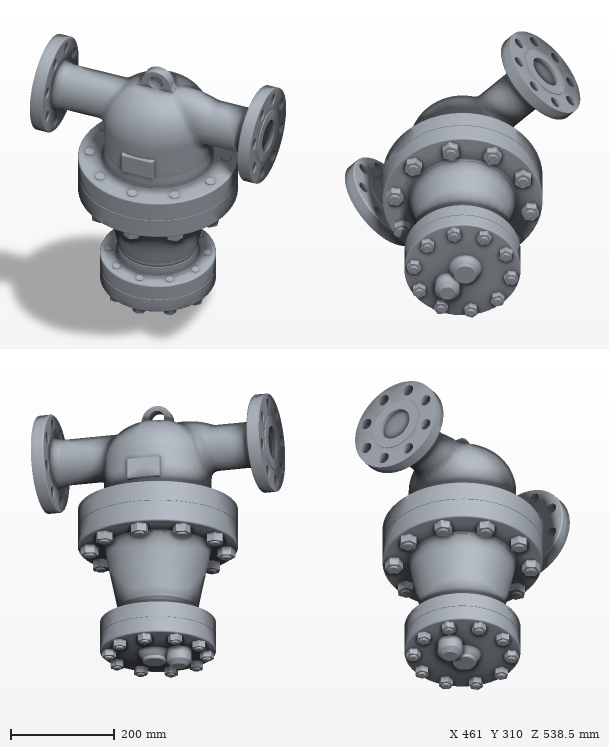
import cadquery as cq
import math


OVERALL_LENGTH = 461.0
PIPE_R = 89.0 / 2
END_FLANGE_R = 191.0 / 2
END_FLANGE_EDGE_ROUND = 3.0
RAISED_FACE_R = 104.8 / 2
RAISED_FACE_HEIGHT = 1.6
END_FLANGE_BACK_X = 203.5
WELD_HUB_START_X = 184.5
WELD_HUB_END_R = 48.0
WELD_HUB_ROOT_ROUND = 3.5
BORE_R = 65.0 / 2
BORE_DEPTH = 10.0
BOLT_HOLE_R = 23.0 / 2
BOLT_HOLE_COUNT = 8
BOLT_HOLE_CIRCLE_R = 149.4 / 2

FACE_X = OVERALL_LENGTH / 2
END_FLANGE_FRONT_X = FACE_X - RAISED_FACE_HEIGHT

HEAD_R = 104.0
DOME_ROUND = 80.0
DOME_BASE_Z = -24.7
DOME_TOP_Z = DOME_BASE_Z + DOME_ROUND
HEAD_TAPER_Z = -88.3
HEAD_FOOT_R = 108.0
PIPE_BLEND = 15.0

RISER_START_X = 121.4
RISER_ANGLE = math.radians(22.5)
RISER_LOWER_BEND = 65.0
RISER_UPPER_BEND = 114.0
RISER_END_X = 18.0
RISER_WALL = 20.0

LARGE_FLANGE_R = 310.0 / 2
LARGE_TOP_Z = -113.0
LARGE_JOINT_Z = -154.0
LARGE_BOTTOM_Z = -195.5
LARGE_BOLT_CIRCLE_R = 265.0 / 2
LARGE_STUD_D = 20.0
LARGE_NUT_FLATS = 30.0
LARGE_NUT_HEIGHT = 16.0

SMALL_FLANGE_R = 225.0 / 2
SMALL_TOP_Z = -346.0
SMALL_JOINT_Z = -378.5
SMALL_BOTTOM_Z = -409.5
SMALL_BOLT_CIRCLE_R = 190.0 / 2
SMALL_STUD_D = 16.0
SMALL_NUT_FLATS = 24.0
SMALL_NUT_HEIGHT = 12.5

FLANGE_EDGE_ROUND = 3.0
NECK_ROOT_ROUND = 4.0
GASKET_THICKNESS = 1.6
GASKET_RECESS = 1.0
STUD_COUNT = 10
FIRST_STUD_ANGLE = 90.0
NUT_SIDES = 6
STUD_PROTRUSION = 3.5
STUD_CHAMFER = 1.5

CONE_BOTTOM_Z = -316.0
NECK_R = 157.5 / 2
NECK_FOOT_R = 162.5 / 2
WELD_GROOVE_TOP_Z = -321.4
WELD_ROOT_TOP_Z = -325.0
WELD_GROOVE_BOTTOM_Z = -326.3
WELD_GROOVE_DEPTH = 1.5

CENTER_BOSS_X = -7.0
CENTER_BOSS_ROOT_R = 65.0 / 2
CENTER_BOSS_R = 45.0 / 2
CENTER_BOSS_BULGE = 0.6
CENTER_BOSS_SHOULDER_Z = -423.0
CENTER_BOSS_CHAMFER = 1.5
CENTER_BOSS_END_Z = -430.0
DRAIN_X = 42.3
DRAIN_R = 48.0 / 2
DRAIN_TIP_R = 30.0 / 2
DRAIN_SHOULDER_Z = -434.0
DRAIN_END_Z = -443.0

EYE_THICKNESS = 20.0
EYE_HOLE_R = 30.0 / 2
EYE_HOLE_Z = 70.0
EYE_RING_R = 30.0
EYE_RING_Z = 65.0
EYE_FLANK_R = 20.0
EYE_BASE_Z = 30.0

PLATE_WIDTH = 66.0
PLATE_TOP_Z = -45.2
PLATE_BOTTOM_Z = -87.0
PLATE_FRONT_Y = -107.7
PLATE_THICKNESS = 10.0
PLATE_CHAMFER = 2.0


def cylinder(radius, z_low, z_high, x=0.0):
    """Vertical cylinder between two heights, offset along X."""
    return cq.Workplane("XY", origin=(x, 0, z_low)).circle(radius).extrude(z_high - z_low)


def cone(radius_low, z_low, radius_high, z_high):
    """Vertical truncated cone on the housing axis."""
    profile = [(0, z_low), (radius_low, z_low), (radius_high, z_high), (0, z_high)]
    return cq.Workplane("XZ").polyline(profile).close().revolve(360, (0, 0), (0, 1))


def root_fillet(radius, flange_z, side):
    """Concave ring between a neck and a flange face; side is +1 above the face, -1 below it."""
    size = NECK_ROOT_ROUND
    center_r = radius + size
    center_z = flange_z + side * size
    diagonal = size / math.sqrt(2)
    inner_r = radius - size
    return (
        cq.Workplane("XZ")
        .moveTo(inner_r, flange_z)
        .lineTo(center_r, flange_z)
        .threePointArc((center_r - diagonal, center_z - side * diagonal), (radius, center_z))
        .lineTo(inner_r, center_z)
        .close()
        .revolve(360, (0, 0), (0, 1))
    )


def half_space(side):
    """Large block above (+1) or below (-1) the pipe axis plane."""
    size = OVERALL_LENGTH
    return cq.Workplane("XY").rect(2 * size, 2 * size).extrude(side * size)


def head():
    """Domed head with both pipes and the riser, before blending."""
    dome = cylinder(HEAD_R, HEAD_TAPER_Z, DOME_TOP_Z).faces(">Z").edges().fillet(DOME_ROUND)
    inlet = cq.Workplane("YZ").circle(PIPE_R).extrude(-WELD_HUB_START_X)
    outlet_start = cq.Workplane("YZ").circle(PIPE_R).extrude(RISER_START_X)
    lower_half = outlet_start.intersect(half_space(-1))
    outlet_end = cq.Workplane("YZ", origin=(RISER_START_X, 0, 0)).circle(PIPE_R)
    outlet_end = outlet_end.extrude(WELD_HUB_START_X - RISER_START_X)
    outlet = riser().union(lower_half).union(outlet_end)
    return dome.union(inlet).union(outlet)


def riser():
    """Upper half of a pipe bend that rises from the outlet and curls over into the dome.

    Its round back has straight walls below it that run flush into the lower half pipe.
    """
    bend_x = RISER_START_X - RISER_LOWER_BEND * math.sin(RISER_ANGLE)
    bend_z = RISER_LOWER_BEND * (1 - math.cos(RISER_ANGLE))
    upper_center_x = bend_x - RISER_UPPER_BEND * math.sin(RISER_ANGLE)
    upper_center_z = bend_z - RISER_UPPER_BEND * math.cos(RISER_ANGLE)
    half_angle = RISER_ANGLE / 2
    lower_mid = (
        RISER_START_X - RISER_LOWER_BEND * math.sin(half_angle),
        RISER_LOWER_BEND * (1 - math.cos(half_angle)),
    )
    peak = (upper_center_x, upper_center_z + RISER_UPPER_BEND)
    end_offset = RISER_END_X - upper_center_x
    end = (RISER_END_X, upper_center_z + math.sqrt(RISER_UPPER_BEND**2 - end_offset**2))
    path = (
        cq.Workplane("XZ")
        .moveTo(RISER_START_X, 0)
        .threePointArc(lower_mid, (bend_x, bend_z))
        .threePointArc(peak, end)
    )
    arch = (
        cq.Workplane("YZ", origin=(RISER_START_X, 0, 0))
        .moveTo(-PIPE_R, -RISER_WALL)
        .lineTo(PIPE_R, -RISER_WALL)
        .lineTo(PIPE_R, 0)
        .threePointArc((0, PIPE_R), (-PIPE_R, 0))
        .close()
        .sweep(path)
    )
    return arch.intersect(half_space(1))


def blended_head():
    """Head with every pipe-to-dome seam blended."""
    body = head()
    seams = [edge for edge in body.edges().vals() if edge.geomType() == "BSPLINE"]
    return body.newObject(seams).fillet(PIPE_BLEND)


def end_flange():
    """Weld-neck pipe flange at the +X end, with bolt holes and a blind bore."""
    root = WELD_HUB_ROOT_ROUND
    root_r = WELD_HUB_END_R + root
    diagonal = root / math.sqrt(2)
    root_x = END_FLANGE_BACK_X - root
    rim_round = END_FLANGE_EDGE_ROUND
    rim_diagonal = rim_round * (1 - 1 / math.sqrt(2))
    profile = (
        cq.Workplane("XY")
        .moveTo(WELD_HUB_START_X, 0)
        .lineTo(WELD_HUB_START_X, PIPE_R)
        .lineTo(root_x, WELD_HUB_END_R)
        .threePointArc((root_x + diagonal, root_r - diagonal), (END_FLANGE_BACK_X, root_r))
        .lineTo(END_FLANGE_BACK_X, END_FLANGE_R - rim_round)
        .threePointArc(
            (END_FLANGE_BACK_X + rim_diagonal, END_FLANGE_R - rim_diagonal),
            (END_FLANGE_BACK_X + rim_round, END_FLANGE_R),
        )
        .lineTo(END_FLANGE_FRONT_X, END_FLANGE_R)
        .lineTo(END_FLANGE_FRONT_X, RAISED_FACE_R)
        .lineTo(FACE_X, RAISED_FACE_R)
        .lineTo(FACE_X, 0)
        .close()
    )
    flange = profile.revolve(360, (0, 0), (1, 0))
    bolt_holes = (
        cq.Workplane("YZ", origin=(END_FLANGE_BACK_X, 0, 0))
        .polarArray(BOLT_HOLE_CIRCLE_R, 180 / BOLT_HOLE_COUNT, 360, BOLT_HOLE_COUNT)
        .circle(BOLT_HOLE_R)
        .extrude(FACE_X - END_FLANGE_BACK_X)
    )
    bore = cq.Workplane("YZ", origin=(FACE_X, 0, 0)).circle(BORE_R).extrude(-BORE_DEPTH)
    return flange.cut(bolt_holes).cut(bore)


def flange_pair(radius, top_z, joint_z, bottom_z):
    """Two round-edged flanges with a slightly recessed gasket between them."""
    half_gasket = GASKET_THICKNESS / 2
    upper = cylinder(radius, joint_z + half_gasket, top_z).faces(">Z").edges().fillet(FLANGE_EDGE_ROUND)
    lower = cylinder(radius, bottom_z, joint_z - half_gasket).faces("<Z").edges().fillet(FLANGE_EDGE_ROUND)
    gasket = cylinder(radius - GASKET_RECESS, joint_z - half_gasket, joint_z + half_gasket)
    return upper.union(gasket).union(lower)


def fasteners(circle_r, top_z, bottom_z, stud_d, nut_flats, nut_height):
    """Ring of through studs, each with a hexagon nut under the lower flange."""
    stud_end_z = bottom_z - nut_height - STUD_PROTRUSION
    stud = cylinder(stud_d / 2, stud_end_z, top_z + STUD_PROTRUSION, circle_r)
    stud = stud.faces("<Z or >Z").edges().chamfer(STUD_CHAMFER)
    nut_corners = nut_flats / math.cos(math.pi / NUT_SIDES)
    nut = (
        cq.Workplane("XY", origin=(circle_r, 0, bottom_z))
        .polygon(NUT_SIDES, nut_corners)
        .extrude(-nut_height)
    )
    fastener = stud.union(nut)
    ring = cq.Workplane("XY")
    for index in range(STUD_COUNT):
        angle = FIRST_STUD_ANGLE + index * 360 / STUD_COUNT
        ring = ring.add(fastener.rotate((0, 0, 0), (0, 0, 1), angle))
    return ring


def lower_housing():
    """Cone and weld neck between the two flange pairs."""
    body = cone(NECK_R, CONE_BOTTOM_Z, HEAD_R, LARGE_BOTTOM_Z)
    body = body.union(cylinder(NECK_R, WELD_GROOVE_TOP_Z, CONE_BOTTOM_Z))
    weld_root_r = NECK_R - WELD_GROOVE_DEPTH
    body = body.union(cone(weld_root_r, WELD_ROOT_TOP_Z, NECK_R, WELD_GROOVE_TOP_Z))
    body = body.union(cylinder(weld_root_r, WELD_GROOVE_BOTTOM_Z, WELD_ROOT_TOP_Z))
    body = body.union(cone(NECK_FOOT_R, SMALL_TOP_Z, NECK_R, WELD_GROOVE_BOTTOM_Z))
    body = body.union(root_fillet(HEAD_R, LARGE_BOTTOM_Z, -1))
    return body.union(root_fillet(NECK_FOOT_R, SMALL_TOP_Z, 1))


def center_boss():
    """Rounded boss under the bottom cover."""
    bulge_r = CENTER_BOSS_R + CENTER_BOSS_BULGE * (CENTER_BOSS_ROOT_R - CENTER_BOSS_R)
    bulge_z = (SMALL_BOTTOM_Z + CENTER_BOSS_SHOULDER_Z) / 2
    return (
        cq.Workplane("XZ", origin=(CENTER_BOSS_X, 0, 0))
        .moveTo(0, SMALL_BOTTOM_Z)
        .lineTo(CENTER_BOSS_ROOT_R, SMALL_BOTTOM_Z)
        .threePointArc((bulge_r, bulge_z), (CENTER_BOSS_R, CENTER_BOSS_SHOULDER_Z))
        .lineTo(CENTER_BOSS_R, CENTER_BOSS_END_Z + CENTER_BOSS_CHAMFER)
        .lineTo(CENTER_BOSS_R - CENTER_BOSS_CHAMFER, CENTER_BOSS_END_Z)
        .lineTo(0, CENTER_BOSS_END_Z)
        .close()
        .revolve(360, (0, 0), (0, 1))
    )


def drain_boss():
    """Drain stub with a conical tip, beside the center boss."""
    stub = cylinder(DRAIN_R, DRAIN_SHOULDER_Z, SMALL_BOTTOM_Z, DRAIN_X)
    tip = cone(DRAIN_TIP_R, DRAIN_END_Z, DRAIN_R, DRAIN_SHOULDER_Z).translate((DRAIN_X, 0, 0))
    return stub.union(tip)


def lifting_eye():
    """Flat eye on top of the dome: a ring whose flanks curve out into a wide foot."""
    shoulder_x = HEAD_R - DOME_ROUND
    shoulder_z = DOME_BASE_Z
    ring_reach = EYE_RING_R + EYE_FLANK_R
    dome_reach = DOME_ROUND + EYE_FLANK_R
    spacing = math.hypot(shoulder_x, EYE_RING_Z - shoulder_z)
    along = (ring_reach**2 - dome_reach**2 + spacing**2) / (2 * spacing)
    across = math.sqrt(ring_reach**2 - along**2)
    toward_x = shoulder_x / spacing
    toward_z = (shoulder_z - EYE_RING_Z) / spacing
    flank_x = along * toward_x - across * toward_z
    flank_z = EYE_RING_Z + along * toward_z + across * toward_x

    ring_share = EYE_RING_R / ring_reach
    touch_x = flank_x * ring_share
    touch_z = EYE_RING_Z + (flank_z - EYE_RING_Z) * ring_share
    dome_share = DOME_ROUND / dome_reach
    foot_x = shoulder_x + (flank_x - shoulder_x) * dome_share
    foot_z = shoulder_z + (flank_z - shoulder_z) * dome_share

    chord_x = (touch_x + foot_x) / 2 - flank_x
    chord_z = (touch_z + foot_z) / 2 - flank_z
    stretch = EYE_FLANK_R / math.hypot(chord_x, chord_z)
    mid_x = flank_x + chord_x * stretch
    mid_z = flank_z + chord_z * stretch
    outline = (
        cq.Workplane("XZ")
        .moveTo(-shoulder_x, EYE_BASE_Z)
        .lineTo(shoulder_x, EYE_BASE_Z)
        .lineTo(foot_x, foot_z)
        .threePointArc((mid_x, mid_z), (touch_x, touch_z))
        .threePointArc((0, EYE_RING_Z + EYE_RING_R), (-touch_x, touch_z))
        .threePointArc((-mid_x, mid_z), (-foot_x, foot_z))
        .close()
    )
    plate = outline.extrude(EYE_THICKNESS / 2, both=True)
    hole = cq.Workplane("XZ").center(0, EYE_HOLE_Z).circle(EYE_HOLE_R).extrude(EYE_THICKNESS / 2, both=True)
    return plate.cut(hole)


def name_plate():
    """Rectangular plate pad on the front of the head."""
    height = PLATE_TOP_Z - PLATE_BOTTOM_Z
    plate = (
        cq.Workplane("XZ", origin=(0, PLATE_FRONT_Y, PLATE_BOTTOM_Z + height / 2))
        .rect(PLATE_WIDTH, height)
        .extrude(-PLATE_THICKNESS)
    )
    return plate.faces("<Y").edges().chamfer(PLATE_CHAMFER)


def large_joint():
    """Housing joint: flange pair with its studs and nuts."""
    flanges = flange_pair(LARGE_FLANGE_R, LARGE_TOP_Z, LARGE_JOINT_Z, LARGE_BOTTOM_Z)
    return flanges.union(
        fasteners(
            LARGE_BOLT_CIRCLE_R,
            LARGE_TOP_Z,
            LARGE_BOTTOM_Z,
            LARGE_STUD_D,
            LARGE_NUT_FLATS,
            LARGE_NUT_HEIGHT,
        )
    )


def small_joint():
    """Bottom cover joint: flange pair with its studs and nuts."""
    flanges = flange_pair(SMALL_FLANGE_R, SMALL_TOP_Z, SMALL_JOINT_Z, SMALL_BOTTOM_Z)
    return flanges.union(
        fasteners(
            SMALL_BOLT_CIRCLE_R,
            SMALL_TOP_Z,
            SMALL_BOTTOM_Z,
            SMALL_STUD_D,
            SMALL_NUT_FLATS,
            SMALL_NUT_HEIGHT,
        )
    )


def head_foot():
    """Tapered foot of the head where it meets the large flange."""
    taper = cone(HEAD_FOOT_R, LARGE_TOP_Z, HEAD_R, HEAD_TAPER_Z)
    return taper.union(root_fillet(HEAD_FOOT_R, LARGE_TOP_Z, 1))


def build():
    """Assemble the whole housing into one solid."""
    outlet_flange = end_flange()
    inlet_flange = outlet_flange.mirror("YZ")
    body = blended_head().union(outlet_flange).union(inlet_flange)
    body = body.union(head_foot()).union(large_joint())
    body = body.union(lower_housing()).union(small_joint())
    body = body.union(center_boss()).union(drain_boss())
    return body.union(lifting_eye()).union(name_plate())


result = build()